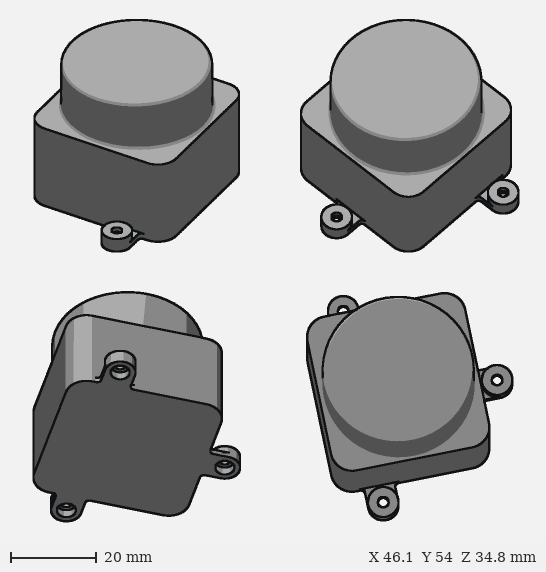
import cadquery as cq

body_size = 37.7
body_height = 22.0
corner_radius = 5.0

head_diameter = 35.4
total_height = 34.8
head_edge_radius = 1.0
head_base_radius = 1.0

ear_diameter = 7.2
ear_height = 3.6
ear_hole_diameter = 2.5
counterbore_diameter = 4.46
counterbore_depth = 2.35
web_height = 1.5
web_root_radius = 1.0
ear_span_y = 54.0
ear_span_x = 46.05
side_ear_offset_x = 8.35

half_body = body_size / 2
ear_radius = ear_diameter / 2
side_ear_reach = ear_span_y / 2 - ear_radius
end_ear_reach = ear_span_x - half_body - ear_radius

ear_places = [
    (side_ear_reach, -side_ear_offset_x, 90),
    (end_ear_reach, 0, 180),
    (side_ear_reach, side_ear_offset_x, 270),
]


def make_housing():
    """Square block with rounded vertical edges, standing on Z = 0."""
    block = cq.Workplane("XY").rect(body_size, body_size).extrude(body_height)
    return block.edges("|Z").fillet(corner_radius)


def make_head():
    """Revolved cylinder with a rounded top edge and a concave flare at its base."""
    radius = head_diameter / 2
    flare_top = (radius, body_height + head_base_radius)
    flare_bottom = (radius + head_base_radius, body_height)
    edge_start = (radius, total_height - head_edge_radius)
    edge_end = (radius - head_edge_radius, total_height)
    return (
        cq.Workplane("XZ")
        .moveTo(0, body_height)
        .lineTo(*flare_bottom)
        .radiusArc(flare_top, head_base_radius)
        .lineTo(*edge_start)
        .radiusArc(edge_end, -head_edge_radius)
        .lineTo(0, total_height)
        .close()
        .revolve(360, (0, 0), (0, 1))
    )


def make_cylinder(distance, diameter, height):
    """Upright cylinder standing on Z = 0, centred on the X axis."""
    return cq.Workplane("XY").center(distance, 0).circle(diameter / 2).extrude(height)


def make_ear(reach):
    """Ear pointing along +X: a round pad, counterbored from below, joined to the housing by a thin web."""
    web = (
        cq.Workplane("XY")
        .moveTo(half_body, -ear_radius - web_root_radius)
        .radiusArc((half_body + web_root_radius, -ear_radius), web_root_radius)
        .lineTo(reach, -ear_radius)
        .lineTo(reach, ear_radius)
        .lineTo(half_body + web_root_radius, ear_radius)
        .radiusArc((half_body, ear_radius + web_root_radius), web_root_radius)
        .close()
        .extrude(web_height)
    )
    pad = make_cylinder(reach, ear_diameter, ear_height)
    hole = make_cylinder(reach, ear_hole_diameter, ear_height)
    counterbore = make_cylinder(reach, counterbore_diameter, counterbore_depth)
    return web.union(pad).cut(hole).cut(counterbore)


result = make_housing().union(make_head())
for ear_reach, ear_offset, ear_angle in ear_places:
    ear = make_ear(ear_reach).translate((0, ear_offset, 0))
    result = result.union(ear.rotate((0, 0, 0), (0, 0, 1), ear_angle))